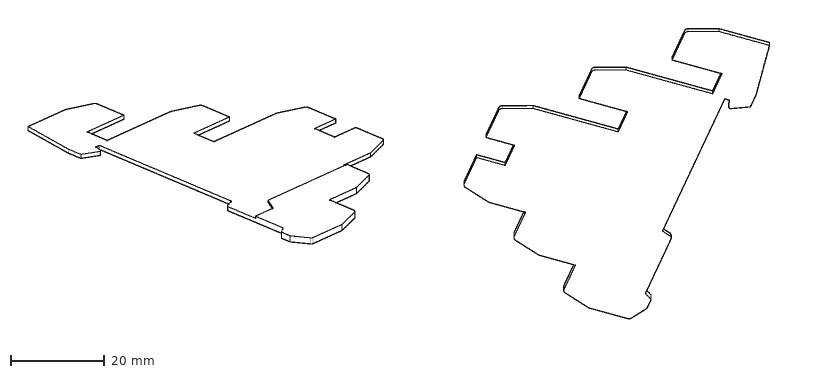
import cadquery as cq
import math

length = 82.5
width = 50.5
base_thickness = 1.0
total_thickness = 1.5

tier_rise = 15.1
top_y = width
middle_y = top_y - tier_rise
lower_y = middle_y - tier_rise
left_pitch = 16.9
middle_left_x = left_pitch
top_left_x = 2 * left_pitch
right_pitch = 10.3
middle_right_x = length - right_pitch
top_right_x = length - 2 * right_pitch

shoulder_drop = 6.8
shoulder_angle = 20.0
shoulder_run = shoulder_drop * math.tan(math.radians(shoulder_angle))
shoulder_radius = 0.8

slot_width = 5.9
lower_slot_floor = 8.9
middle_slot_floor = 24.3
top_slot_floor = 44.0
top_slot_x = 45.0

rail_y = 5.9
rail_left_x = 17.4
rail_right_x = 56.85
hook_root_y = 4.9
hook_tip_x = 19.8
hook_tip_y = 4.3
hook_radius = 0.5
left_foot_y = 2.0
left_foot_start_x = 13.95
left_foot_end_x = 17.65

right_base_y = 3.5
rail_slope_end_x = 57.75
rail_slope_radius = 0.8
right_foot_y = 1.7
right_foot_step_x = 74.6
right_foot_start_x = 75.7
right_foot_end_x = 78.4
right_corner_y = 4.2
right_corner_radius = 0.7

raised_x = 62.9
raised_foot_x = 66.3
raised_bend_top_y = 11.0
raised_bend_bottom_y = 9.0


def left_shoulder(x, y):
    """Points up a shoulder whose outer side is at x and whose top is at y."""
    return [(x, y - shoulder_drop), (x + shoulder_run, y)]


def right_shoulder(x, y):
    """Points down a shoulder whose outer side is at x and whose top is at y."""
    return [(x - shoulder_run, y), (x, y - shoulder_drop)]


def slot(left, right, left_top, floor, right_top):
    """Points down, across and up a square slot."""
    return [(left, left_top), (left, floor), (right, floor), (right, right_top)]


def make_profile(height):
    """Full plate outline, clockwise from the lower left corner."""
    points = [(0, left_foot_y)]
    points += left_shoulder(0, lower_y)
    points += slot(middle_left_x - slot_width, middle_left_x, lower_y,
                   lower_slot_floor, middle_y - shoulder_drop)
    points += left_shoulder(middle_left_x, middle_y)[1:]
    points += slot(top_left_x - slot_width, top_left_x, middle_y,
                   middle_slot_floor, top_y - shoulder_drop)
    points += left_shoulder(top_left_x, top_y)[1:]
    points += slot(top_slot_x, top_slot_x + slot_width, top_y, top_slot_floor, top_y)
    points += right_shoulder(top_right_x, top_y)
    points += [(top_right_x, middle_y)]
    points += right_shoulder(middle_right_x, middle_y)
    points += [(middle_right_x, lower_y)]
    points += right_shoulder(length, lower_y)
    points += [
        (length, right_corner_y),
        (right_foot_end_x, right_foot_y),
        (right_foot_start_x, right_foot_y),
        (right_foot_step_x, right_base_y),
        (rail_slope_end_x, right_base_y),
        (rail_right_x, rail_y),
        (rail_left_x, rail_y),
        (rail_left_x, hook_root_y),
        (hook_tip_x, hook_tip_y),
        (left_foot_end_x, 0),
        (left_foot_start_x, 0),
    ]
    return cq.Workplane("XY").polyline(points).close().extrude(height)


def round_corner(body, x, y, radius):
    """Round the upright edge standing at (x, y)."""
    edge = body.edges("|Z").edges(cq.selectors.NearestToPointSelector((x, y, total_thickness / 2)))
    return edge.fillet(radius)


plate = make_profile(total_thickness)

shoulder_tops = [
    (shoulder_run, lower_y),
    (middle_left_x + shoulder_run, middle_y),
    (top_left_x + shoulder_run, top_y),
    (top_right_x - shoulder_run, top_y),
    (middle_right_x - shoulder_run, middle_y),
    (length - shoulder_run, lower_y),
]
for x, y in shoulder_tops:
    plate = round_corner(plate, x, y, shoulder_radius)
plate = round_corner(plate, hook_tip_x, hook_tip_y, hook_radius)
plate = round_corner(plate, rail_slope_end_x, right_base_y, rail_slope_radius)
plate = round_corner(plate, length, right_corner_y, right_corner_radius)

lowered_area = (
    cq.Workplane("XY").workplane(offset=base_thickness)
    .polyline([
        (0, 0),
        (raised_foot_x, 0),
        (raised_foot_x, raised_bend_bottom_y),
        (raised_x, raised_bend_top_y),
        (raised_x, width),
        (0, width),
    ])
    .close()
    .extrude(total_thickness - base_thickness)
)
result = plate.cut(lowered_area)